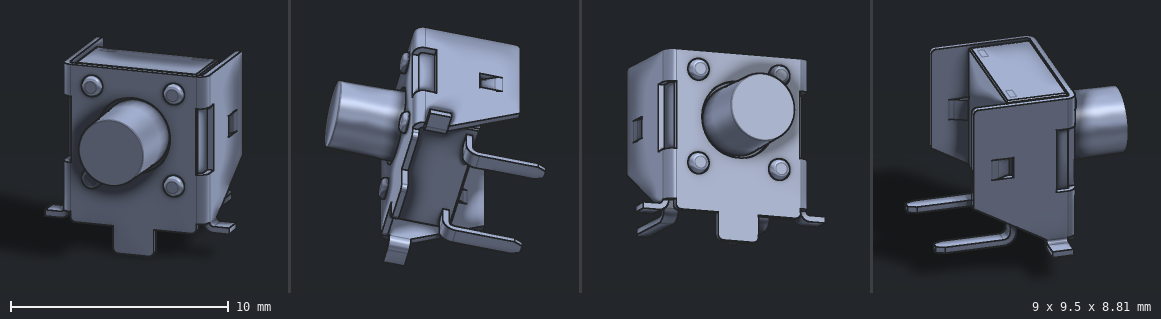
import cadquery as cq
import math


SHEET = 0.3
BRACKET_HALF_WIDTH = 3.55
BRACKET_DEPTH = 4.99
BRACKET_TOP = 3.11
BEND_OUTER = 0.475
BEND_INNER = BEND_OUTER - SHEET
CORNER_RADIUS = 0.25
SEAT = -4.41
WALL_BOTTOM = SEAT + BEND_OUTER
WALL_REAR_BOTTOM = -1.89
WALL_HALF_WIDTH_INSIDE = BRACKET_HALF_WIDTH - SHEET

FOOT_SPAN = 9.0
FOOT_REACH = FOOT_SPAN / 2
FOOT_WIDTH = 1.02

PLATE_HALF_WIDTH = BRACKET_HALF_WIDTH - BEND_OUTER
TAB_WIDTH = 1.995
TAB_BOTTOM = -5.7

SLOT_HEIGHT = 3.15
SLOT_DEPTH = 1.02
SLOT_HALF_SPAN = 3.04

LATCH_HEIGHT = 1.01
LATCH_Z = -0.04
LATCH_ANGLE = 25.0
LATCH_LENGTH = 0.68
LATCH_ROOT = 4.13
LATCH_BEND_INNER = 0.49
LATCH_BEND_OUTER = LATCH_BEND_INNER + SHEET
WINDOW_FRONT = 3.06

BUTTON_HOLE_DIAMETER = 3.6

HOUSING_WIDTH = 6.0
HOUSING_TOP = BRACKET_TOP
HOUSING_BOTTOM = -3.0
HOUSING_REAR = 3.25
HOUSING_CHAMFER = 0.08

RIVET_DIAMETER = 1.0
RIVET_HEIGHT = 0.3
RIVET_ROUND = 0.22
RIVET_X = 1.995
RIVET_Z = 2.19

TERMINAL_WIDTH = 0.72
TERMINAL_X = 2.25
TERMINAL_FRONT = 2.66
TERMINAL_END = 6.46
TERMINAL_BEND_INNER = 0.3
TERMINAL_BEND_OUTER = TERMINAL_BEND_INNER + SHEET
TERMINAL_TIP_LENGTH = 0.4
TERMINAL_TIP_WIDTH = 0.38

BUTTON_BASE_DIAMETER = 3.29
BUTTON_TIP_DIAMETER = 3.15
BUTTON_TIP = -3.04
BUTTON_ROUND = 0.04

SIDES = (-1, 1)


def box(x_range, y_range, z_range):
    """Axis-aligned block between three pairs of limits."""
    ranges = (x_range, y_range, z_range)
    size = [high - low for low, high in ranges]
    centre = [(high + low) / 2 for low, high in ranges]
    return cq.Workplane("XY").box(*size).translate(tuple(centre))


def mirrored(shape):
    """Copy of a right-hand (+X) shape on the left-hand side."""
    return shape.mirror("YZ")


def along_y(diameter, y_start, y_end, points):
    """Round bars parallel to Y at the given (x, z) points."""
    return (
        cq.Workplane("XZ", origin=(0, y_start, 0))
        .pushPoints(points)
        .circle(diameter / 2)
        .extrude(y_start - y_end)
    )


RIVET_POINTS = [(x * RIVET_X, z * RIVET_Z) for x in SIDES for z in SIDES]


def bracket_channel():
    """U-shaped channel: front plate and two side walls, trimmed to the walls' side outline."""
    height = BRACKET_TOP - WALL_BOTTOM
    outside = (
        box((-BRACKET_HALF_WIDTH, BRACKET_HALF_WIDTH), (0, BRACKET_DEPTH), (WALL_BOTTOM, BRACKET_TOP))
        .edges("|Z and <Y")
        .fillet(BEND_OUTER)
    )
    inside = (
        cq.Workplane("XY", origin=(0, 0, WALL_BOTTOM))
        .center(0, SHEET + BRACKET_DEPTH / 2)
        .rect(2 * WALL_HALF_WIDTH_INSIDE, BRACKET_DEPTH)
        .extrude(height)
        .edges("|Z and <Y")
        .fillet(BEND_INNER)
    )
    side_outline = (
        cq.Workplane("YZ", origin=(-BRACKET_HALF_WIDTH, 0, 0))
        .moveTo(0, WALL_BOTTOM)
        .lineTo(BEND_OUTER + FOOT_WIDTH, WALL_BOTTOM)
        .lineTo(BRACKET_DEPTH, WALL_REAR_BOTTOM)
        .lineTo(BRACKET_DEPTH, BRACKET_TOP)
        .lineTo(0, BRACKET_TOP)
        .close()
        .extrude(2 * BRACKET_HALF_WIDTH)
        .edges("|X and >Y and >Z")
        .fillet(CORNER_RADIUS)
    )
    return outside.cut(inside).intersect(side_outline)


def front_plate_skirt():
    """Lower end of the front plate with its centre tab."""
    skirt = box((-PLATE_HALF_WIDTH, PLATE_HALF_WIDTH), (0, SHEET), (SEAT, WALL_BOTTOM))
    tab = box((-TAB_WIDTH / 2, TAB_WIDTH / 2), (0, SHEET), (TAB_BOTTOM, WALL_BOTTOM))
    rounded_skirt = skirt.edges("|Y and <Z").fillet(CORNER_RADIUS)
    rounded_tab = tab.edges("|Y and <Z").fillet(CORNER_RADIUS)
    return rounded_skirt.union(rounded_tab)


def right_foot():
    """Solder foot bent outwards from the bottom of the right wall."""
    bend_x = BRACKET_HALF_WIDTH + BEND_INNER
    slant = math.sqrt(0.5)
    inner_mid = (bend_x - BEND_INNER * slant, WALL_BOTTOM - BEND_INNER * slant)
    outer_mid = (bend_x - BEND_OUTER * slant, WALL_BOTTOM - BEND_OUTER * slant)
    return (
        cq.Workplane("XZ", origin=(0, BEND_OUTER, 0))
        .moveTo(BRACKET_HALF_WIDTH, WALL_BOTTOM)
        .threePointArc(inner_mid, (bend_x, SEAT + SHEET))
        .lineTo(FOOT_REACH, SEAT + SHEET)
        .lineTo(FOOT_REACH, SEAT)
        .lineTo(bend_x, SEAT)
        .threePointArc(outer_mid, (WALL_HALF_WIDTH_INSIDE, WALL_BOTTOM))
        .close()
        .extrude(-FOOT_WIDTH)
    )


def right_bend_slot():
    """Opening across the right bend, beside the button."""
    return box(
        (SLOT_HALF_SPAN, BRACKET_HALF_WIDTH),
        (0, SLOT_DEPTH),
        (-SLOT_HEIGHT / 2, SLOT_HEIGHT / 2),
    )


def right_window():
    """Opening in the right wall from which the latch is bent."""
    return box(
        (WALL_HALF_WIDTH_INSIDE, BRACKET_HALF_WIDTH),
        (WINDOW_FRONT, LATCH_ROOT),
        (LATCH_Z - LATCH_HEIGHT / 2, LATCH_Z + LATCH_HEIGHT / 2),
    )


def right_latch():
    """Strip bent inwards from the right wall to hold the rear of the housing."""
    angle = math.radians(LATCH_ANGLE)
    along = (-math.sin(angle), -math.cos(angle))
    across = (math.cos(angle), -math.sin(angle))
    bend_centre_x = WALL_HALF_WIDTH_INSIDE - LATCH_BEND_INNER

    def on_bend(radius, turn):
        """Point of the bend at a radius, after turning by an angle from the wall."""
        return (bend_centre_x + radius * math.cos(turn), LATCH_ROOT - radius * math.sin(turn))

    outer_end = on_bend(LATCH_BEND_OUTER, angle)
    inner_end = on_bend(LATCH_BEND_INNER, angle)
    outer_tip = (outer_end[0] + LATCH_LENGTH * along[0], outer_end[1] + LATCH_LENGTH * along[1])
    inner_tip = (outer_tip[0] - SHEET * across[0], outer_tip[1] - SHEET * across[1])
    return (
        cq.Workplane("XY", origin=(0, 0, LATCH_Z - LATCH_HEIGHT / 2))
        .moveTo(*on_bend(LATCH_BEND_OUTER, 0))
        .threePointArc(on_bend(LATCH_BEND_OUTER, angle / 2), outer_end)
        .lineTo(*outer_tip)
        .lineTo(*inner_tip)
        .lineTo(*inner_end)
        .threePointArc(on_bend(LATCH_BEND_INNER, angle / 2), on_bend(LATCH_BEND_INNER, 0))
        .close()
        .extrude(LATCH_HEIGHT)
    )


def make_bracket():
    bracket = bracket_channel().union(front_plate_skirt())
    for opening in (right_bend_slot(), right_window()):
        bracket = bracket.cut(opening).cut(mirrored(opening))
    for part in (right_latch(), right_foot()):
        bracket = bracket.union(part).union(mirrored(part))
    bracket = bracket.cut(along_y(BUTTON_HOLE_DIAMETER, 0, SHEET, [(0, 0)]))
    return bracket.cut(along_y(RIVET_DIAMETER, 0, SHEET, RIVET_POINTS))


def housing_block():
    half_width = HOUSING_WIDTH / 2
    block = box((-half_width, half_width), (SHEET, HOUSING_REAR), (HOUSING_BOTTOM, HOUSING_TOP))
    return block.faces("<Z or >Z").edges().chamfer(HOUSING_CHAMFER)


def rivets():
    """Posts through the bracket with rounded heads on its front face."""
    posts = along_y(RIVET_DIAMETER, -RIVET_HEIGHT, SHEET, RIVET_POINTS)
    return posts.faces("<Y").edges().fillet(RIVET_ROUND)


def terminal(x):
    """Pin running down through the housing and bent rearwards at the mounting surface."""
    rear_face = TERMINAL_FRONT + SHEET
    bend_y = rear_face + TERMINAL_BEND_INNER
    bend_z = SEAT + TERMINAL_BEND_OUTER
    slant = math.sqrt(0.5)
    outer_mid = (bend_y - TERMINAL_BEND_OUTER * slant, bend_z - TERMINAL_BEND_OUTER * slant)
    inner_mid = (bend_y - TERMINAL_BEND_INNER * slant, bend_z - TERMINAL_BEND_INNER * slant)
    strip = (
        cq.Workplane("YZ", origin=(x - TERMINAL_WIDTH / 2, 0, 0))
        .moveTo(TERMINAL_FRONT, HOUSING_TOP)
        .lineTo(TERMINAL_FRONT, bend_z)
        .threePointArc(outer_mid, (bend_y, SEAT))
        .lineTo(TERMINAL_END, SEAT)
        .lineTo(TERMINAL_END, SEAT + SHEET)
        .lineTo(bend_y, SEAT + SHEET)
        .threePointArc(inner_mid, (rear_face, bend_z))
        .lineTo(rear_face, HOUSING_TOP)
        .close()
        .extrude(TERMINAL_WIDTH)
    )
    half_width = TERMINAL_WIDTH / 2
    half_tip = TERMINAL_TIP_WIDTH / 2
    taper_start = TERMINAL_END - TERMINAL_TIP_LENGTH
    plan = (
        cq.Workplane("XY", origin=(x, 0, SEAT))
        .polyline([
            (-half_width, TERMINAL_FRONT),
            (-half_width, taper_start),
            (-half_tip, TERMINAL_END),
            (half_tip, TERMINAL_END),
            (half_width, taper_start),
            (half_width, TERMINAL_FRONT),
        ])
        .close()
        .extrude(HOUSING_TOP - SEAT)
    )
    return strip.intersect(plan)


def make_housing():
    housing = housing_block().union(rivets())
    for side in SIDES:
        pin = terminal(side * TERMINAL_X)
        housing = housing.cut(pin, clean=False).union(pin, clean=False)
    return housing


def make_button():
    """Slightly tapered round button standing on the front of the housing."""
    return (
        cq.Workplane("XY")
        .moveTo(0, SHEET)
        .lineTo(BUTTON_BASE_DIAMETER / 2, SHEET)
        .lineTo(BUTTON_TIP_DIAMETER / 2, BUTTON_TIP)
        .lineTo(0, BUTTON_TIP)
        .close()
        .revolve(360, (0, 0, 0), (0, 1, 0))
        .faces("<Y")
        .edges()
        .fillet(BUTTON_ROUND)
    )


bracket = make_bracket()
housing = make_housing()
button = make_button()

result = cq.Compound.makeCompound([bracket.val(), housing.val(), button.val()])